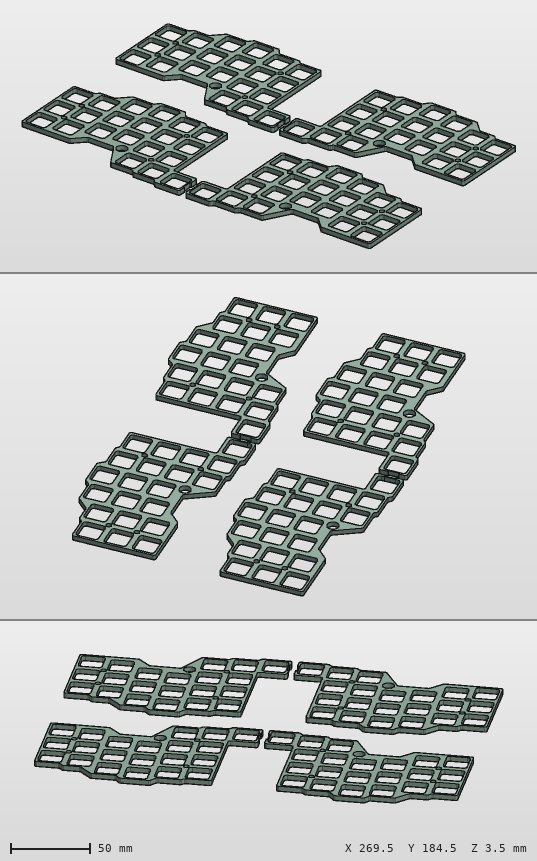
import cadquery as cq

length = 269.5
height = 184.5
thickness = 3.5
gap = 4.3
plate_offset = 100.0
plate_height = height - plate_offset
half_width = (length - gap) / 2

edge = 9.2
thumb_index = 6
pitch = (half_width - 2 * edge) / thumb_index
opening = 15.0
opening_radius = 2.02

plate_left = -length / 2
plate_bottom = -height / 2
column_x = [plate_left + edge + i * pitch for i in range(thumb_index)]

column_rows = [3, 3, 3, 3, 4, 4]
highest_rise = plate_height - edge - 2 * pitch
column_rise = [23.5, 26.0, 34.0, highest_rise, 13.7, 11.5]
bottom_key_y = [plate_bottom + rise for rise in column_rise]
top_edge = [y + (rows - 1) * pitch + edge for y, rows in zip(bottom_key_y, column_rows)]
bottom_edge = [y - edge for y in bottom_key_y]

top_left_reach = [9.7, 9.5, 9.5, 5.7]
top_right_reach = [1.5, 6.7, 9.7, 9.7]
first_top_right = column_x[0] + 7.0
last_top_left = column_x[5] - 7.0

thumb_x = plate_left + edge + thumb_index * pitch
thumb_y = plate_bottom + edge
thumb_left = thumb_x - 9.5
thumb_right = thumb_x + edge
thumb_top = thumb_y + 10.0
notch_depth = 0.8
notch_width = 7.3

thumb_bottom_left = thumb_left - 0.3
last_bottom_right = column_x[5] + 7.0
last_bottom_left = column_x[5] - 9.5
fourth_bottom_right = column_x[4] + 8.0
fourth_bottom_left = column_x[4] - edge
arch_y = plate_bottom + 22.5
arch_right = column_x[3] - 0.5
arch_left = column_x[2] - 1.5
outer_bottom_right = column_x[2] - 9.7

corner_radius = 1.48

large_hole = 7.5
large_hole_x = column_x[3] + 5.0
large_hole_y = plate_bottom + 23.2
screw_hole = 3.5
outer_screw_x = (column_x[0] + column_x[1]) / 2
outer_screw_y = plate_bottom + 34.2
inner_screw_x = (column_x[4] + column_x[5]) / 2
inner_screw_y = plate_bottom + 22.0


def outline_points():
    """Outline of a plate half, clockwise from its lower left corner."""
    points = [(plate_left, bottom_edge[0])]

    points += [(plate_left, top_edge[0]), (first_top_right, top_edge[0])]
    for x, y, left, right in zip(column_x[1:5], top_edge[1:5], top_left_reach, top_right_reach):
        points += [(x - left, y), (x + right, y)]
    points += [(last_top_left, top_edge[5]), (thumb_left, top_edge[5])]

    points += [
        (thumb_left, thumb_top),
        (thumb_right, thumb_top),
        (thumb_right, plate_bottom),
        (thumb_bottom_left, plate_bottom),
    ]

    points += [
        (last_bottom_right, bottom_edge[5]),
        (last_bottom_left, bottom_edge[5]),
        (fourth_bottom_right, bottom_edge[4]),
        (fourth_bottom_left, bottom_edge[4]),
        (arch_right, arch_y),
        (arch_left, arch_y),
        (outer_bottom_right, bottom_edge[0]),
    ]
    return points


def key_centres():
    centres = [(thumb_x, thumb_y)]
    for x, y, rows in zip(column_x, bottom_key_y, column_rows):
        centres += [(x, y + row * pitch) for row in range(rows)]
    return centres


def key_openings():
    blocks = cq.Workplane("XY").pushPoints(key_centres()).rect(opening, opening).extrude(thickness)
    return blocks.edges("|Z").fillet(opening_radius)


def thumb_notch():
    plane = cq.Workplane("XY").center(thumb_right, thumb_y)
    return plane.rect(2 * notch_depth, notch_width).extrude(thickness)


def screw_holes():
    centres = [
        (outer_screw_x, outer_screw_y),
        (outer_screw_x, outer_screw_y + pitch),
        (inner_screw_x, inner_screw_y),
        (inner_screw_x, inner_screw_y + 2 * pitch),
    ]
    return cq.Workplane("XY").pushPoints(centres).circle(screw_hole / 2).extrude(thickness)


def large_round_hole():
    plane = cq.Workplane("XY").center(large_hole_x, large_hole_y)
    return plane.circle(large_hole / 2).extrude(thickness)


def plate_half():
    """Left half of the lower plate, centred on Z = 0."""
    half = cq.Workplane("XY").polyline(outline_points()).close().extrude(thickness)
    half = half.edges("|Z").fillet(corner_radius)
    for cutter in (key_openings(), thumb_notch(), screw_holes(), large_round_hole()):
        half = half.cut(cutter)
    return half.translate((0, 0, -thickness / 2))


halves = []
for shift in (0, plate_offset):
    left_half = plate_half().translate((0, shift, 0))
    right_half = left_half.mirror("YZ")
    halves += [*left_half.solids().vals(), *right_half.solids().vals()]

result = cq.Compound.makeCompound(halves)